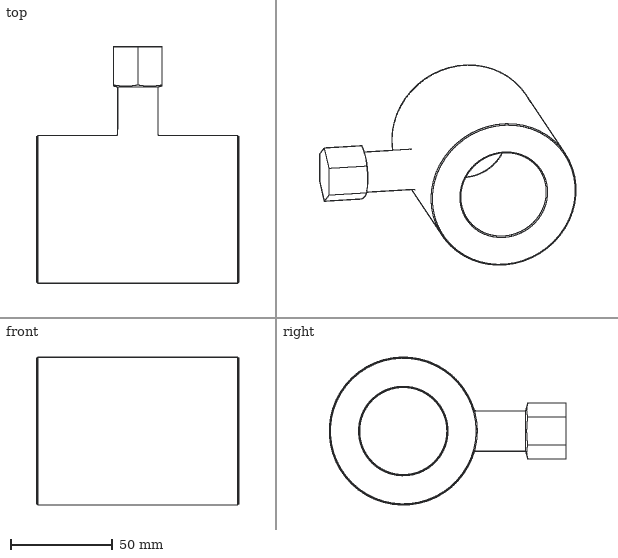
import cadquery as cq
import math

sleeve_length = 100.0
sleeve_diameter = 73.2
bore_diameter = 43.1
sleeve_chamfer = 0.6

overall_depth = 117.2
stem_diameter = 20.0
root_fillet = 0.7
hex_across_flats = 24.0
hex_length = 20.0
hex_cone_height = 1.0

hex_end = overall_depth - sleeve_diameter / 2
hex_start = hex_end - hex_length
hex_across_corners = hex_across_flats / math.cos(math.pi / 6)


def make_sleeve():
    """Thick tube with small chamfers on all four end edges."""
    return (
        cq.Workplane("YZ")
        .circle(sleeve_diameter / 2)
        .circle(bore_diameter / 2)
        .extrude(sleeve_length / 2, both=True)
        .faces("<X or >X")
        .edges()
        .chamfer(sleeve_chamfer)
    )


def add_stem(sleeve):
    """Join the round stem to the outside of the sleeve and fillet its root."""
    stem_start = (sleeve_diameter + bore_diameter) / 4
    stem = (
        cq.Workplane("XZ", origin=(0, stem_start, 0))
        .circle(stem_diameter / 2)
        .extrude(stem_start - hex_start)
    )
    half_width = stem_diameter / 2 + root_fillet
    root_edges = cq.selectors.BoxSelector(
        (-half_width, stem_start, -half_width),
        (half_width, sleeve_diameter / 2 + root_fillet, half_width),
        boundingbox=True,
    )
    return sleeve.union(stem).edges(root_edges).fillet(root_fillet)


def make_hex_head():
    """Hexagon with corners at +Z and -Z, coned down to the stem at its inner end."""
    hexagon = (
        cq.Workplane("XZ", origin=(0, hex_start, 0))
        .transformed(rotate=(0, 0, 90))
        .polygon(6, hex_across_corners)
        .extrude(-hex_length)
    )
    envelope = (
        cq.Workplane("XY")
        .moveTo(0, hex_start)
        .lineTo(stem_diameter / 2, hex_start)
        .lineTo(hex_across_corners / 2, hex_start + hex_cone_height)
        .lineTo(hex_across_corners / 2, hex_end)
        .lineTo(0, hex_end)
        .close()
        .revolve(360, (0, 0, 0), (0, 1, 0))
    )
    return hexagon.intersect(envelope)


result = add_stem(make_sleeve()).union(make_hex_head())